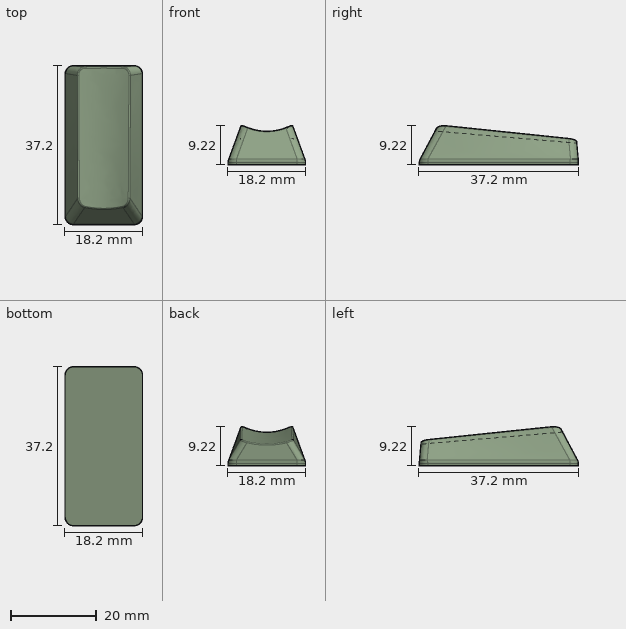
import cadquery as cq
import math


width = 18.15
length = 37.2
base_corner_radius = 2.0

band_height = 0.6
crease_height = 1.0
shoulder_height = 1.38
shoulder_side_inset = 0.167
shoulder_front_inset = 0.205
shoulder_rear_inset = 0.03
shoulder_corner_radius = 1.82
waist_steps = 4

top_width = 11.85
top_front_inset = 4.65
top_rear_inset = 0.5
top_corner_radius = 1.85
top_slope = math.radians(6.0)
top_front_height = 9.75

dish_front_floor = 8.22
dish_rear_floor = 5.05
dish_front_radius = 11.0
dish_rear_radius = 19.72
dish_half_width = 7.45
dish_ceiling = 13.02
rim_radius = 0.3


def rounded_outline(plane, outline_width, outline_length, radius):
    """Wire of a round-cornered rectangle centred on the plane's origin."""
    sharp = cq.Workplane(plane).rect(outline_width, outline_length).val()
    return sharp.fillet2D(radius, sharp.Vertices())


def waist_outline(step):
    """Level outline on a quadratic bend, leading from the upright band into the walls."""
    u = step / waist_steps
    height = (1 - u)**2 * band_height + 2 * u * (1 - u) * crease_height + u**2 * shoulder_height
    inset_share = u**2
    side_inset = inset_share * shoulder_side_inset
    front_inset = inset_share * shoulder_front_inset
    rear_inset = inset_share * shoulder_rear_inset
    corner_radius = base_corner_radius + inset_share * (shoulder_corner_radius - base_corner_radius)
    plane = cq.Plane(origin=(0, (front_inset - rear_inset) / 2, height))
    return rounded_outline(
        plane, width - 2 * side_inset, length - front_inset - rear_inset, corner_radius
    )


def top_outline():
    front_y = -length / 2 + top_front_inset
    rear_y = length / 2 - top_rear_inset
    span = rear_y - front_y
    plane = cq.Plane(
        origin=(0, (front_y + rear_y) / 2, top_front_height - span / 2 * math.tan(top_slope)),
        xDir=(1, 0, 0),
        normal=(0, math.sin(top_slope), math.cos(top_slope)),
    )
    return rounded_outline(plane, top_width, span / math.cos(top_slope), top_corner_radius)


def make_body():
    base = rounded_outline(cq.Plane.XY(), width, length, base_corner_radius)
    band = cq.Solid.extrudeLinear(base, [], cq.Vector(0, 0, band_height))
    waist_outlines = [waist_outline(step) for step in range(waist_steps + 1)]
    waist = cq.Solid.makeLoft(waist_outlines)
    walls = cq.Solid.makeLoft([waist_outlines[-1], top_outline()], True)
    return cq.Workplane(band).union(cq.Workplane(waist)).union(cq.Workplane(walls))


def dish_section(y, floor, radius):
    """Upright profile with an arc at the bottom; covers everything above the arc."""
    arc_end = floor + radius - math.sqrt(radius**2 - dish_half_width**2)
    return (
        cq.Workplane("XZ", origin=(0, y, 0))
        .moveTo(-dish_half_width, arc_end)
        .threePointArc((0, floor), (dish_half_width, arc_end))
        .lineTo(dish_half_width, dish_ceiling)
        .lineTo(-dish_half_width, dish_ceiling)
        .close()
        .val()
    )


def make_dish():
    front = dish_section(-length / 2, dish_front_floor, dish_front_radius)
    rear = dish_section(length / 2, dish_rear_floor, dish_rear_radius)
    return cq.Workplane(cq.Solid.makeLoft([front, rear], True))


def round_dish_rim(body):
    dish_floor_zone = cq.selectors.BoxSelector(
        (-dish_half_width, -length / 4, shoulder_height),
        (dish_half_width, length / 4, dish_ceiling),
    )
    return body.faces(dish_floor_zone).edges().fillet(rim_radius)


result = round_dish_rim(make_body().cut(make_dish()))